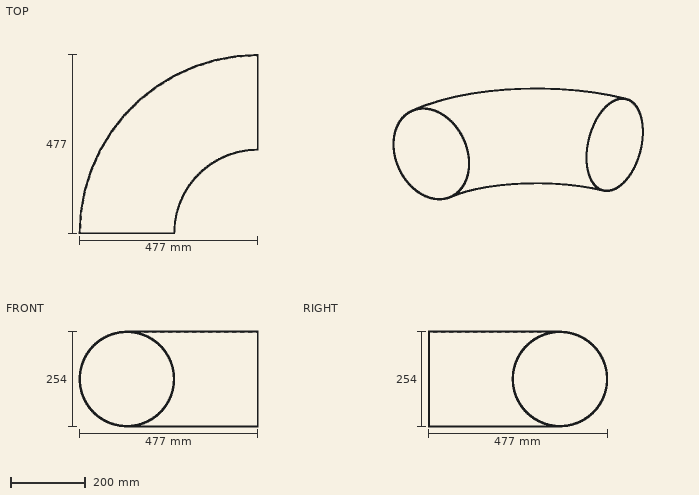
import cadquery as cq

outer_diameter = 254.0
wall_thickness = 2.0
bend_radius = 350.0
bend_angle = 90.0

inner_diameter = outer_diameter - 2 * wall_thickness


def make_elbow():
    """Revolve the pipe ring from the -Y end, round to the +X end.

    The bend axis is parallel to Z and passes through (bend_radius, 0);
    the -Y end of the pipe is centred on the origin.
    """
    ring = cq.Workplane("XZ").circle(outer_diameter / 2).circle(inner_diameter / 2)
    axis_start = (bend_radius, 0)
    axis_end = (bend_radius, -1)
    return ring.revolve(bend_angle, axis_start, axis_end)


result = make_elbow()